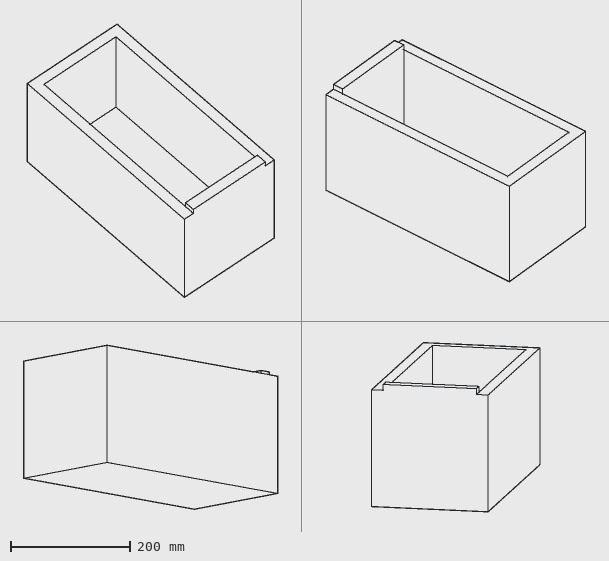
import cadquery as cq

length = 400.0
width = 200.0
body_height = 200.0
wall = 20.0
floor = wall

panel_rise = 10.0

inner_length = length - 2 * wall
inner_width = width - 2 * wall

from_bottom = (True, True, False)

body = cq.Workplane("XY").box(length, width, body_height, centered=from_bottom)
cavity = (
    cq.Workplane("XY")
    .workplane(offset=floor)
    .box(inner_length, inner_width, body_height - floor, centered=from_bottom)
)

end_panel = (
    cq.Workplane("XY")
    .workplane(offset=floor)
    .center((length - wall) / 2, 0)
    .box(wall, inner_width, body_height + panel_rise - floor, centered=from_bottom)
)

result = body.cut(cavity).union(end_panel)